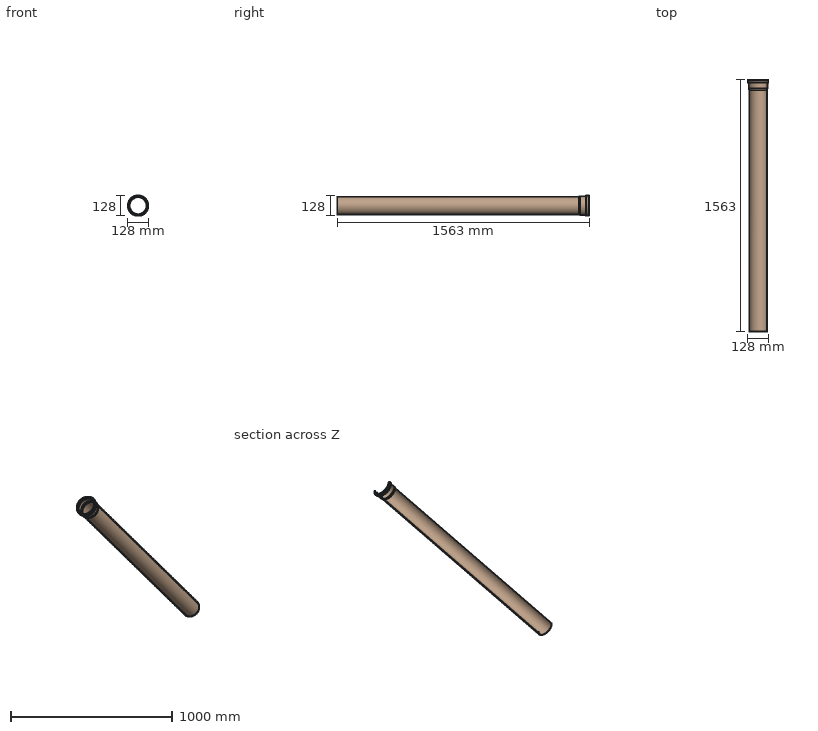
import cadquery as cq
import math

length = 1563.0
pipe_diameter = 111.0
bore_diameter = 105.0
wall = (pipe_diameter - bore_diameter) / 2

rim_diameter = 128.0
socket_diameter = 117.0
rim_length = 20.0
rim_round = 5.0
socket_root = 55.0
socket_end = 64.0

spigot_face = -length / 2
socket_face = length / 2
rim_back = socket_face - rim_length
root_y = socket_face - socket_root
cone_end_y = socket_face - socket_end

pipe_radius = pipe_diameter / 2
bore_radius = bore_diameter / 2
socket_radius = socket_diameter / 2
rim_radius = rim_diameter / 2
round_centre_radius = rim_radius - rim_round
round_mid_offset = rim_round * math.sin(math.radians(45))
round_mid_radius = round_centre_radius + round_mid_offset
front_round_y = socket_face - rim_round
back_round_y = rim_back + rim_round

wall_section = (
    cq.Workplane("XY")
    .moveTo(bore_radius, spigot_face)
    .lineTo(pipe_radius, spigot_face)
    .lineTo(pipe_radius, cone_end_y)
    .lineTo(socket_radius, root_y)
    .lineTo(socket_radius, rim_back)
    .lineTo(round_centre_radius, rim_back)
    .threePointArc((round_mid_radius, back_round_y - round_mid_offset), (rim_radius, back_round_y))
    .lineTo(rim_radius, front_round_y)
    .threePointArc((round_mid_radius, front_round_y + round_mid_offset), (round_centre_radius, socket_face))
    .lineTo(socket_radius - wall, socket_face)
    .lineTo(socket_radius - wall, socket_face - wall)
    .lineTo(rim_radius - wall, socket_face - wall)
    .lineTo(rim_radius - wall, rim_back + wall)
    .lineTo(socket_radius - wall, rim_back + wall)
    .lineTo(socket_radius - wall, root_y)
    .lineTo(bore_radius, cone_end_y)
    .close()
)

result = wall_section.revolve(360, (0, 0, 0), (0, 1, 0))